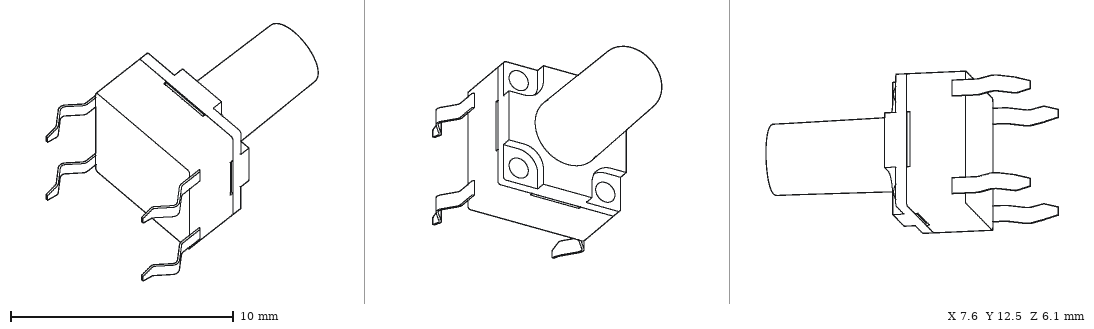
import cadquery as cq
import math


body_side = 6.1
body_corner_radius = 0.15
base_height = 2.7
cover_floor_height = 0.5
cover_height = 1.01

arm_width = 2.52
pocket_radius = 1.0

rivet_radius = 0.5
rivet_height = 0.25
rivet_edge_distance = 0.8

slot_height = 0.15
slot_depth = 0.1

stem_tip_y = 9.5
stem_root_diameter = 3.39
stem_tip_diameter = 3.22
stem_tip_fillet = 0.12

total_length = 12.5
total_width = 7.6
lead_thickness = 0.1
lead_width = 0.72
lead_spacing = 4.5
lead_overlap = 0.61
lead_apex_y = -1.49
lead_bend_angle = math.radians(40)
lead_bend_radius = 0.29
lead_head_radius = 0.094
lead_tip_width = 0.36
lead_taper_start_y = -2.34

half_side = body_side / 2
body_top_y = base_height + cover_height
lead_tip_y = stem_tip_y - total_length


def block_along_y(width_x, width_z, y_start, y_end):
    """Box centred on the Y axis between two Y positions."""
    length = y_end - y_start
    return cq.Workplane("XY").box(width_x, length, width_z).translate((0, y_start + length / 2, 0))


def make_base():
    base = block_along_y(body_side, body_side, 0, base_height).edges("|Y").fillet(body_corner_radius)
    slot_start = base_height - slot_height
    cutter = block_along_y(arm_width, 2 * slot_depth, slot_start, base_height).translate((0, 0, half_side))
    for side in range(4):
        base = base.cut(cutter.rotate((0, 0, 0), (0, 1, 0), 90 * side))
    return base


def make_cover():
    floor_y = base_height + cover_floor_height
    cover = block_along_y(body_side, body_side, base_height, body_top_y)
    cover = cover.edges("|Y").fillet(body_corner_radius)

    pocket_size = half_side
    pocket_centre = (arm_width + pocket_size) / 2
    pocket = block_along_y(pocket_size, pocket_size, floor_y, body_top_y)
    pocket = pocket.edges("|Y and <X and <Z").fillet(pocket_radius)
    pocket = pocket.translate((pocket_centre, 0, pocket_centre))

    rivet_offset = half_side - rivet_edge_distance
    rivet = make_rivet_head(floor_y).translate((rivet_offset, 0, rivet_offset))

    for corner in range(4):
        cover = cover.cut(pocket.rotate((0, 0, 0), (0, 1, 0), 90 * corner))
        cover = cover.union(rivet.rotate((0, 0, 0), (0, 1, 0), 90 * corner))
    return cover


def make_rivet_head(floor_y):
    """Spherical cap standing on the pocket floor."""
    sphere_radius = (rivet_radius**2 + rivet_height**2) / (2 * rivet_height)
    mid_angle = math.asin(rivet_radius / sphere_radius) / 2
    centre_y = floor_y + rivet_height - sphere_radius
    arc_middle = (sphere_radius * math.sin(mid_angle), centre_y + sphere_radius * math.cos(mid_angle))
    return (
        cq.Workplane("XY")
        .moveTo(0, floor_y)
        .lineTo(rivet_radius, floor_y)
        .threePointArc(arc_middle, (0, floor_y + rivet_height))
        .close()
        .revolve(360, (0, 0, 0), (0, 1, 0))
    )


def make_stem():
    stem = (
        cq.Workplane("XY")
        .moveTo(0, body_top_y)
        .lineTo(stem_root_diameter / 2, body_top_y)
        .lineTo(stem_tip_diameter / 2, stem_tip_y)
        .lineTo(0, stem_tip_y)
        .close()
        .revolve(360, (0, 0, 0), (0, 1, 0))
    )
    return stem.faces(">Y").edges().fillet(stem_tip_fillet)


def make_lead_path():
    """Middle line of the strip on the +X side, from its head beside the base down to its tip."""
    straight_x = half_side + lead_thickness / 2
    apex_x = (total_width - lead_thickness) / 2
    bend_x = lead_bend_radius * (1 - math.cos(lead_bend_angle))
    bend_y = lead_bend_radius * math.sin(lead_bend_angle)
    slope_x = apex_x - straight_x - 2 * bend_x
    slope_y = slope_x / math.tan(lead_bend_angle)

    slope_end = bend_y + slope_y
    bend_end = slope_end + bend_y
    return (
        cq.Workplane("XY")
        .moveTo(straight_x, lead_overlap)
        .lineTo(straight_x, lead_apex_y + bend_end)
        .tangentArcPoint((straight_x + bend_x, lead_apex_y + slope_end), relative=False)
        .lineTo(apex_x - bend_x, lead_apex_y + bend_y)
        .tangentArcPoint((apex_x - bend_x, lead_apex_y - bend_y), relative=False)
        .lineTo(straight_x + bend_x, lead_apex_y - slope_end)
        .tangentArcPoint((straight_x, lead_apex_y - bend_end), relative=False)
        .lineTo(straight_x, lead_tip_y)
    )


def make_lead():
    """Lead on the +X side, centred on Z = 0."""
    strip = (
        cq.Workplane("XZ", origin=(half_side + lead_thickness / 2, lead_overlap, 0))
        .rect(lead_thickness, lead_width)
        .sweep(make_lead_path())
    )
    strip = strip.faces(">Y").edges(">X").fillet(lead_head_radius)

    outline = (
        cq.Workplane("YZ")
        .moveTo(lead_overlap, lead_width / 2)
        .lineTo(lead_taper_start_y, lead_width / 2)
        .lineTo(lead_tip_y, lead_tip_width / 2)
        .lineTo(lead_tip_y, -lead_tip_width / 2)
        .lineTo(lead_taper_start_y, -lead_width / 2)
        .lineTo(lead_overlap, -lead_width / 2)
        .close()
        .extrude(total_width)
    )
    return strip.intersect(outline)


def make_leads():
    right_lead = make_lead()
    left_lead = right_lead.mirror("YZ")
    leads = []
    for lead in (right_lead, left_lead):
        for z in (-lead_spacing / 2, lead_spacing / 2):
            leads.append(lead.translate((0, 0, z)).val())
    return leads


base = make_base()
cover = make_cover()
stem = make_stem()
leads = make_leads()

result = cq.Compound.makeCompound([base.val(), cover.val(), stem.val(), *leads])